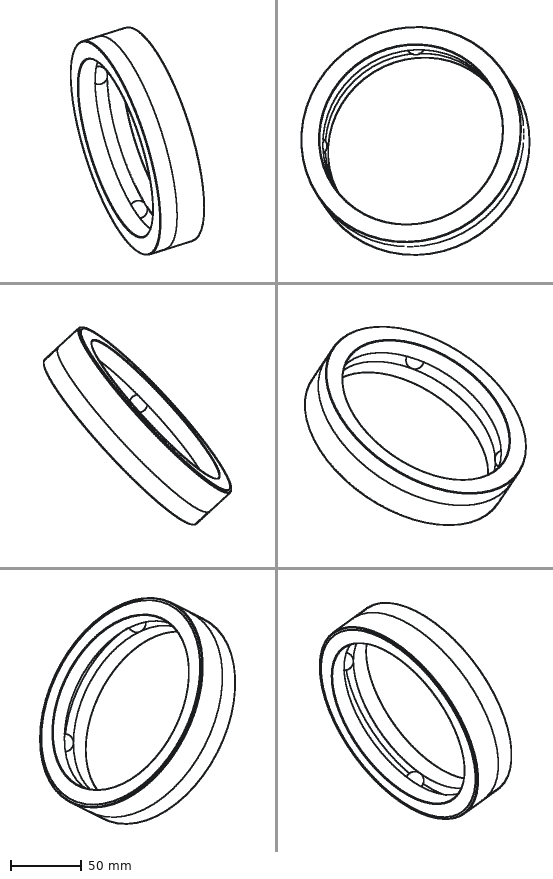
import cadquery as cq
import math

outer_diameter = 158.8
bore_diameter = 132.1
total_width = 35.0

lip_diameter = 154.6
lip_height = 0.5

rim_diameter = 157.8
bore_chamfer = 0.5

retaining_ring_diameter = 157.8
retaining_ring_width = 13.3

ball_diameter = 12.7
ball_count = 4
ball_protrusion = 2.0

outer_radius = outer_diameter / 2
bore_radius = bore_diameter / 2
lip_radius = lip_diameter / 2
rim_radius = rim_diameter / 2
rim_chamfer = outer_radius - rim_radius
retaining_ring_radius = retaining_ring_diameter / 2

front_y = -total_width / 2
back_y = total_width / 2
shoulder_y = back_y - lip_height
recess_floor_y = front_y + retaining_ring_width
ball_radius = ball_diameter / 2
ball_orbit_radius = bore_radius - ball_protrusion + ball_radius
groove_mouth_width = 2 * math.sqrt(ball_radius**2 - (ball_orbit_radius - bore_radius) ** 2)
groove_middle_y = recess_floor_y + groove_mouth_width / 2


def revolve_about_y(profile):
    """Turn a closed radius-against-Y profile fully around the Y axis."""
    return profile.close().revolve(360, (0, 0, 0), (0, 1, 0))


def make_groove_cutter():
    """Torus swept by a ball rolling once around the bore."""
    torus = cq.Solid.makeTorus(
        ball_orbit_radius, ball_radius, cq.Vector(0, groove_middle_y, 0), cq.Vector(0, 1, 0)
    )
    return cq.Workplane("XY").newObject([torus])


def make_housing():
    """Outer ring with a thin front wall, most of the ball groove and the back lip."""
    profile = (
        cq.Workplane("XY")
        .moveTo(bore_radius, recess_floor_y)
        .lineTo(retaining_ring_radius, recess_floor_y)
        .lineTo(retaining_ring_radius, front_y)
        .lineTo(outer_radius, front_y + rim_chamfer)
        .lineTo(outer_radius, shoulder_y - rim_chamfer)
        .lineTo(rim_radius, shoulder_y)
        .lineTo(lip_radius, shoulder_y)
        .lineTo(lip_radius, back_y)
        .lineTo(bore_radius + bore_chamfer, back_y)
        .lineTo(bore_radius, back_y - bore_chamfer)
    )
    return revolve_about_y(profile).cut(make_groove_cutter()).solids()


def make_retaining_ring():
    """Ring filling the housing recess, with the undercut front side of the groove."""
    profile = (
        cq.Workplane("XY")
        .moveTo(bore_radius + bore_chamfer, front_y)
        .lineTo(retaining_ring_radius, front_y)
        .lineTo(retaining_ring_radius, recess_floor_y)
        .lineTo(bore_radius, recess_floor_y)
        .lineTo(bore_radius, front_y + bore_chamfer)
    )
    return revolve_about_y(profile).cut(make_groove_cutter()).solids()


def make_ball(angle):
    """Ball seated in the groove at the given angle around the Y axis."""
    ball = cq.Workplane("XY").sphere(ball_radius)
    ball = ball.translate((ball_orbit_radius, groove_middle_y, 0))
    return ball.rotate((0, 0, 0), (0, 1, 0), angle)


housing = make_housing()
retaining_ring = make_retaining_ring()
balls = [make_ball(index * 360 / ball_count) for index in range(ball_count)]

result = cq.Compound.makeCompound(
    [housing.val(), retaining_ring.val(), *[ball.val() for ball in balls]]
)